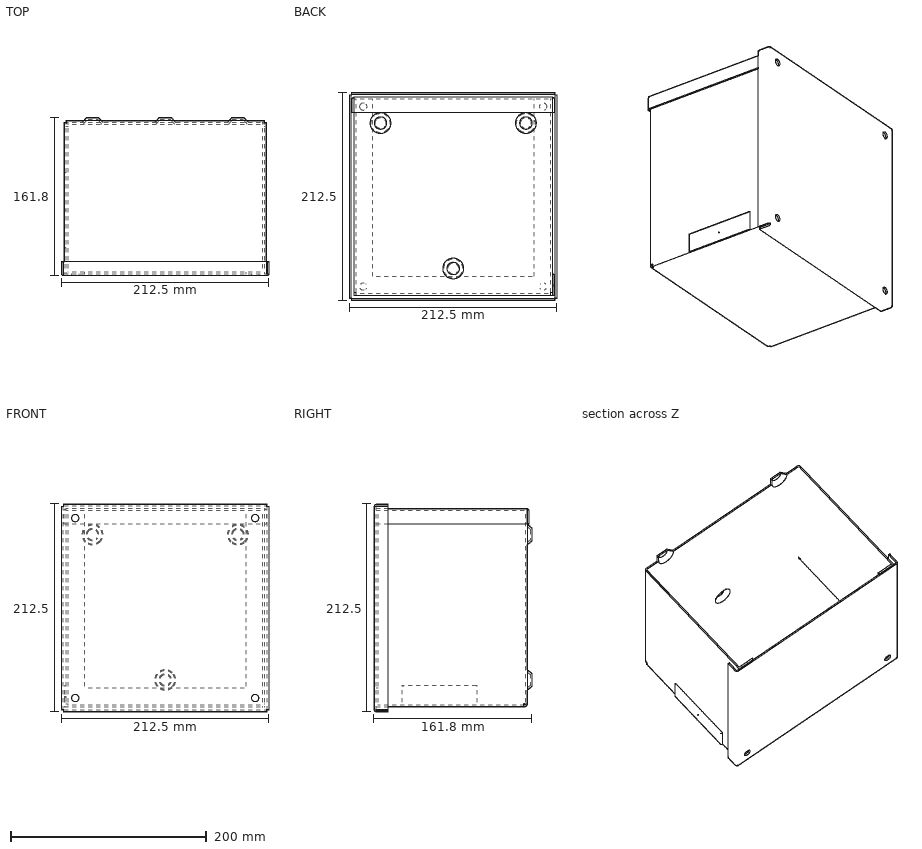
import cadquery as cq


cover_size = 212.5
cover_depth = 14.2
total_depth = 161.8
sheet = 2.0
bend_radius = 2.5
bend_inner_radius = bend_radius - sheet
corner_notch = 2.1

cover_hole_diameter = 7.5
cover_hole_spacing = 184.1

cover_gap = 0.9
lid_top = 101.8
lid_flange_height = 15.5
lid_half_width = cover_size / 2 - sheet - cover_gap
box_half_width = lid_half_width - sheet
box_bottom = -101.0
box_top = lid_top - sheet
box_front = sheet
boss_height = 5.0
box_back = total_depth - boss_height
lid_back = box_back + sheet
lip_width = 19.1
relief_length = 3.8
relief_height = 3.0

boss_tip_diameter = 12.8
boss_base_diameter = 21.3
boss_spacing = 148.8
boss_centre_z = 0.9
boss_upper_z = boss_centre_z + boss_spacing / 2
boss_lower_z = boss_centre_z - boss_spacing / 2

pad_front = 28.5
pad_length = 77.0
pad_top = -79.3
pad_thickness = 1.7
pad_edge_radius = 1.5
pad_hole_diameter = 0.79
pad_hole_z = -91.0


def block(x_range, y_range, z_range):
    """Rectangular block between the given limits."""
    spans = [end - start for start, end in (x_range, y_range, z_range)]
    corner = (x_range[0], y_range[0], z_range[0])
    return cq.Workplane("XY").box(*spans, centered=False).translate(corner)


def make_cover():
    half = cover_size / 2
    inner = half - sheet
    cover = block((-half, half), (0, cover_depth), (-half, half))
    cover = cover.faces("<Y").edges().fillet(bend_radius)
    cavity = block((-inner, inner), (sheet, cover_depth), (-inner, inner))
    cover = cover.cut(cavity.faces("<Y").edges().fillet(bend_inner_radius))

    notch_spacing = cover_size - corner_notch
    notches = (
        cq.Workplane("XZ").rect(notch_spacing, notch_spacing, forConstruction=True).vertices()
        .rect(corner_notch, corner_notch).extrude(-cover_depth)
    )
    holes = (
        cq.Workplane("XZ").rect(cover_hole_spacing, cover_hole_spacing, forConstruction=True).vertices()
        .circle(cover_hole_diameter / 2).extrude(-sheet)
    )
    return cover.cut(notches).cut(holes)


def boss_cone(tip_diameter, base_diameter, base_y, x, z):
    """Truncated cone standing on the plane Y = base_y and pointing to +Y."""
    return cq.Workplane(
        cq.Solid.makeCone(
            base_diameter / 2, tip_diameter / 2, boss_height, cq.Vector(x, base_y, z), cq.Vector(0, 1, 0)
        )
    )


def make_box():
    half = box_half_width
    inner = half - sheet
    inner_back = box_back - sheet
    inner_bottom = box_bottom + sheet
    bent_edges = "(>Y and <X) or (>Y and >X) or (>Y and <Z)"
    box = block((-half, half), (box_front, box_back), (box_bottom, box_top))
    box = box.edges(bent_edges).fillet(bend_radius)
    cavity = block((-inner, inner), (box_front + sheet, inner_back), (inner_bottom, box_top))
    cavity = cavity.edges(bent_edges).fillet(bend_inner_radius)
    box = box.cut(cavity)

    opening = half - lip_width
    lip_top = box_bottom + lip_width
    box = box.cut(block((-opening, opening), (box_front, box_front + sheet), (lip_top, box_top)))

    for start in (-half, inner):
        box = box.cut(
            block((start, start + sheet), (box_back - relief_length, box_back),
                  (box_bottom, box_bottom + relief_height))
        )

    boss_places = [
        (0, boss_lower_z),
        (-boss_spacing / 2, boss_upper_z),
        (boss_spacing / 2, boss_upper_z),
    ]
    for x, z in boss_places:
        box = box.union(boss_cone(boss_tip_diameter, boss_base_diameter, box_back, x, z))
    for x, z in boss_places:
        box = box.cut(boss_cone(boss_tip_diameter - sheet, boss_base_diameter - sheet, inner_back, x, z))
    return box


def make_lid():
    half = lid_half_width
    flange_bottom = lid_top - lid_flange_height
    lid = block((-half, half), (box_front, lid_back), (flange_bottom, lid_top))
    lid = lid.edges("(>Z and <X) or (>Z and >X) or (>Z and >Y)").fillet(bend_radius)
    cavity = block((-box_half_width, box_half_width), (box_front, box_back), (flange_bottom, box_top))
    lid = lid.cut(cavity)
    notch_front = lid_back - corner_notch
    for start in (-half, half - corner_notch):
        lid = lid.cut(
            block((start, start + corner_notch), (notch_front, lid_back), (flange_bottom, lid_top))
        )
    return lid


def make_pad():
    wall = -box_half_width
    pad = block((wall - pad_thickness, wall), (pad_front, pad_front + pad_length), (box_bottom, pad_top))
    pad = pad.edges("(<X and <Y) or (<X and >Y) or (<X and >Z)").fillet(pad_edge_radius)
    hole = (
        cq.Workplane("YZ", origin=(wall, pad_front + pad_length / 2, pad_hole_z))
        .circle(pad_hole_diameter / 2).extrude(-pad_thickness)
    )
    return pad.cut(hole)


cover = make_cover()
box = make_box()
lid = make_lid()
pad = make_pad()

bodies = [cover, box, lid, pad]
result = cq.Compound.makeCompound([body.solids().val() for body in bodies])